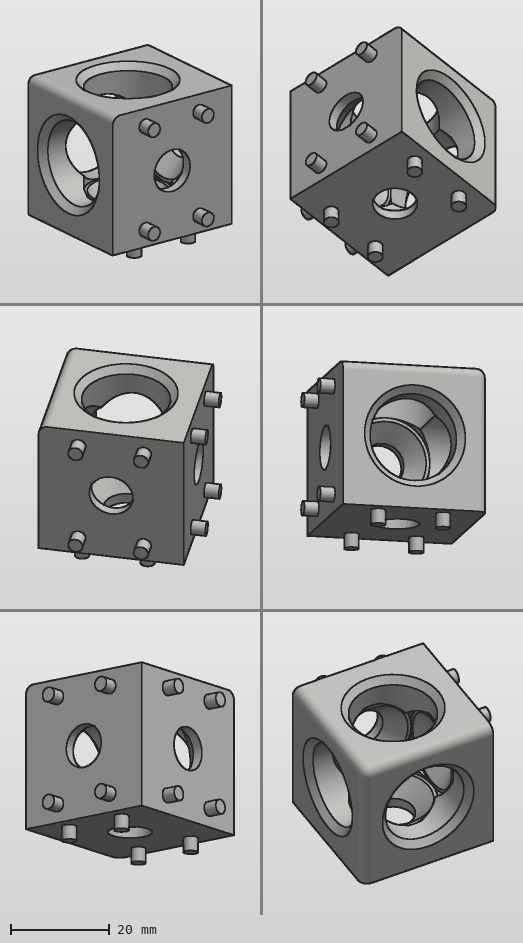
import cadquery as cq

overall = 33.0
pin_length = 3.0
pin_diameter = 3.0
cube = overall - pin_length
edge_radius = 1.98

mouth_diameter = 21.0
bore_diameter = 18.0
mouth_depth = 1.5
bore_depth = 24.0
cone_diameter = 16.5
throat_diameter = 9.0
throat_length = 2.25

pin_offset_wide = 11.22
pin_offset_narrow = 6.75

half = cube / 2


def make_block():
    """Cube with the three edges meeting at the (-X, -Y, +Z) corner rounded."""
    block = cq.Workplane("XY").box(cube, cube, cube)
    corner_edges = block.edges("(<X and <Y) or (<X and >Z) or (<Y and >Z)")
    return corner_edges.fillet(edge_radius)


def make_passage(face):
    """Chamfered bore entering at the face plane, then a cone and a straight throat."""
    profile = [
        (0, 0),
        (mouth_diameter / 2, 0),
        (bore_diameter / 2, -mouth_depth),
        (bore_diameter / 2, -bore_depth),
        (cone_diameter / 2, -bore_depth),
        (throat_diameter / 2, throat_length - cube),
        (throat_diameter / 2, -cube),
        (0, -cube),
    ]
    section = cq.Plane(origin=face.origin, xDir=face.xDir, normal=face.xDir.cross(face.zDir))
    return cq.Workplane(section).polyline(profile).close().revolve(360, (0, 0), (0, 1))


def make_pins(face):
    """Four pins standing on a face, the wide spacing along its local x axis."""
    return (
        cq.Workplane(face)
        .rect(2 * pin_offset_wide, 2 * pin_offset_narrow, forConstruction=True)
        .vertices()
        .circle(pin_diameter / 2)
        .extrude(pin_length)
    )


X, Y, Z = (1, 0, 0), (0, 1, 0), (0, 0, 1)
mouth_faces = [
    cq.Plane((-half, 0, 0), Y, (-1, 0, 0)),
    cq.Plane((0, -half, 0), X, (0, -1, 0)),
    cq.Plane((0, 0, half), X, Z),
]
mating_faces = [
    cq.Plane((half, 0, 0), Z, X),
    cq.Plane((0, half, 0), Z, Y),
    cq.Plane((0, 0, -half), X, (0, 0, -1)),
]

result = make_block()
for face in mouth_faces:
    result = result.cut(make_passage(face))
for face in mating_faces:
    result = result.union(make_pins(face))